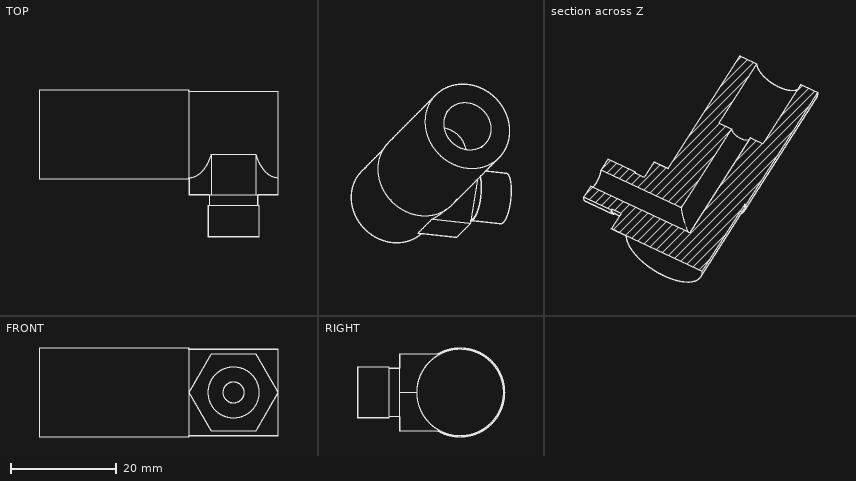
import cadquery as cq
import math

sleeve_diameter = 17.0
sleeve_length = 28.5
head_diameter = 16.5
head_length = 17.0

outlet_x = sleeve_length + head_length / 2
hex_sides = 6
hex_across_flats = 14.7
hex_across_corners = hex_across_flats / math.cos(math.pi / hex_sides)
hex_face_distance = 11.5
neck_diameter = 9.25
neck_length = 2.0
spigot_diameter = 9.728
spigot_length = 6.0
outlet_reach = hex_face_distance + neck_length + spigot_length

socket_diameter = 9.5
socket_depth = 15.0
passage_diameter = 4.0


def cylinder_along_x(diameter, start, length):
    return cq.Workplane("YZ").workplane(offset=start).circle(diameter / 2).extrude(length)


def outlet_plane(distance):
    """Plane facing -Y, centred on the outlet axis at a distance from the body axis."""
    return cq.Workplane("XZ", origin=(outlet_x, -distance, 0))


def outlet_cylinder(diameter, start, length):
    return outlet_plane(start).circle(diameter / 2).extrude(length)


def make_body():
    sleeve = cylinder_along_x(sleeve_diameter, 0, sleeve_length)
    head = cylinder_along_x(head_diameter, sleeve_length, head_length)
    return sleeve.union(head)


def make_outlet():
    hexagon = outlet_plane(0).polygon(hex_sides, hex_across_corners).extrude(hex_face_distance)
    neck = outlet_cylinder(neck_diameter, hex_face_distance, neck_length)
    spigot = outlet_cylinder(spigot_diameter, hex_face_distance + neck_length, spigot_length)
    return hexagon.union(neck).union(spigot)


def make_passages():
    socket = cylinder_along_x(socket_diameter, 0, socket_depth)
    path = cq.Workplane("XY").polyline([(0, 0), (outlet_x, 0), (outlet_x, -outlet_reach)])
    passage = cq.Workplane("YZ").circle(passage_diameter / 2).sweep(path, transition="right")
    return socket.union(passage)


result = make_body().union(make_outlet()).cut(make_passages())